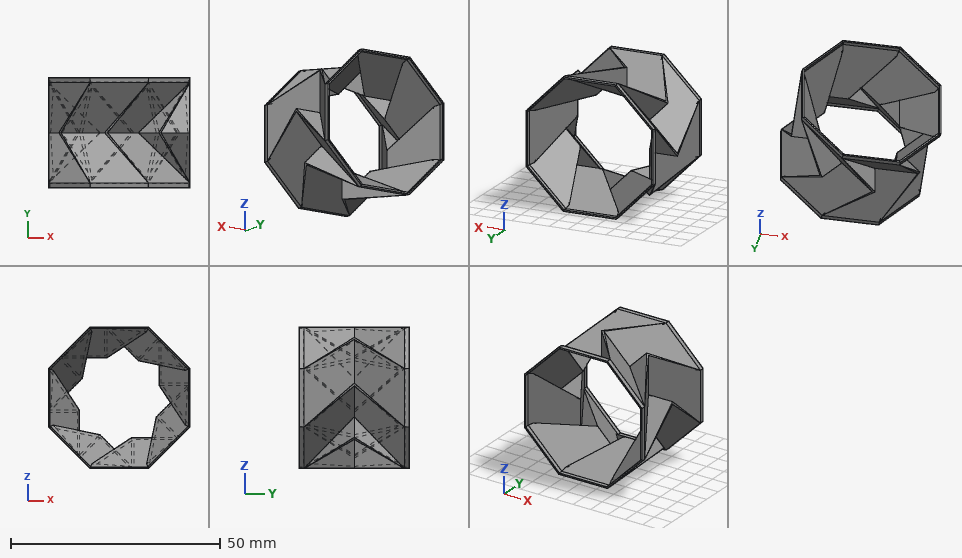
import cadquery as cq
import math

side_count = 8
across_flats = 33.8
length = 26.4

folded_length = 24.0
sheet = 0.4
fold_angle = 30.0
skew = 0.75

apothem = across_flats / 2
half_side = apothem * math.tan(math.pi / side_count)
side_angle = 360.0 / side_count
band_edge_y = folded_length / 2
panel_slope = math.tan(math.radians(fold_angle))
wall_shift = skew * 2 * half_side
wall_run = wall_shift / band_edge_y

panel_sheet = sheet / math.cos(math.radians(fold_angle))
wall_sheet = sheet * math.hypot(1, wall_run)

beyond = apothem


def octagon_prism(inradius, depth):
    """Octagonal prism along Y, centred on the origin, with a flat on top."""
    across_corners = 2 * inradius / math.cos(math.pi / side_count)
    return (
        cq.Workplane("XZ")
        .polygon(side_count, across_corners)
        .extrude(depth / 2, both=True)
        .rotate((0, 0, 0), (0, 1, 0), side_angle / 2)
    )


def top_pocket(panel_growth, wall_growth):
    """V-shaped pocket over the top side, enlarged past its panels and its step walls."""
    panel_z = apothem - panel_growth
    wall_x = half_side + wall_growth
    floor_z = panel_z - band_edge_y * panel_slope
    side_profile = [
        (-band_edge_y - beyond, panel_z + beyond * panel_slope),
        (0, floor_z),
        (band_edge_y + beyond, panel_z + beyond * panel_slope),
    ]
    above_panels = (
        cq.Workplane("YZ")
        .polyline(side_profile)
        .close()
        .extrude(across_flats, both=True)
    )
    plan_profile = [
        (wall_x - wall_shift, 0),
        (wall_x + beyond * wall_run, band_edge_y + beyond),
        (-across_flats, band_edge_y + beyond),
        (-across_flats, -band_edge_y - beyond),
        (wall_x + beyond * wall_run, -band_edge_y - beyond),
    ]
    beside_walls = cq.Workplane("XY").polyline(plan_profile).close().extrude(across_flats)
    return above_panels.intersect(beside_walls)


def folded_body(inradius, depth, panel_growth, wall_growth):
    """Octagonal prism with one pocket cut into every side."""
    body = octagon_prism(inradius, depth)
    pocket = top_pocket(panel_growth, wall_growth)
    for side in range(side_count):
        body = body.cut(pocket.rotate((0, 0, 0), (0, 1, 0), side * side_angle))
    return body


outer = folded_body(apothem, length, 0, 0)
cavity = folded_body(apothem - sheet, length, panel_sheet, wall_sheet)
result = outer.cut(cavity)